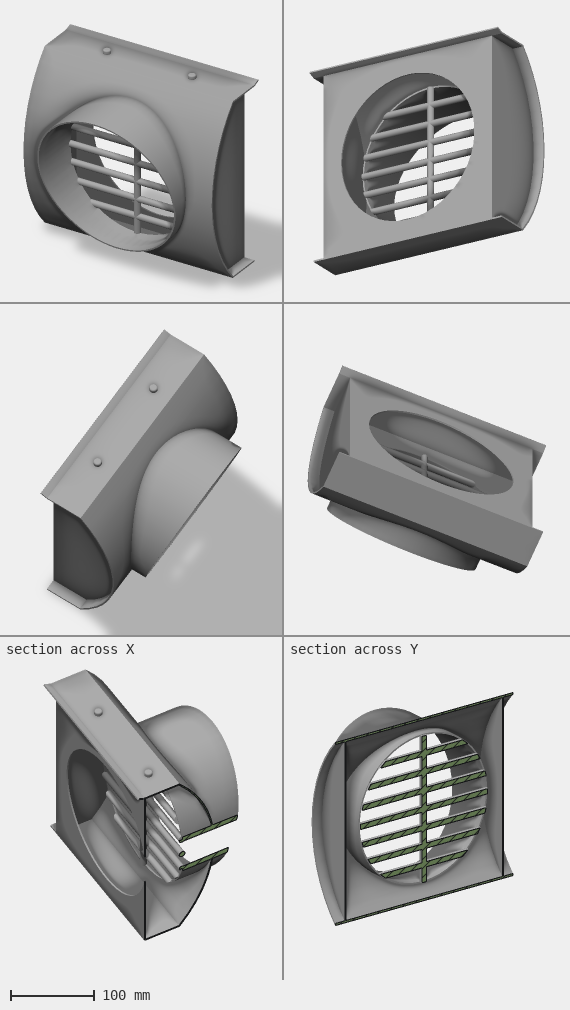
import cadquery as cq
import math

width = 265.0
height = 240.0
half_height = height / 2
sheet = 2.0
flange_depth = 48.5
apex_depth = 96.7

lip_reach = 9.5
lip_angle = 20.0

end_inset = 14.0

neck_outer = 192.0
neck_inner = 188.0
neck_start = 52.0
neck_tip = 148.0
mouth_angle = 15.0

grille_depth = neck_start
bar_diameter = 8.5
bar_pitch = height / 10
bars_each_side = 3

pin_diameter = 10.0
pin_height = 5.0
pin_rounding = 1.9
pin_spacing = 119.8
pin_depth = flange_depth / 2

bulge = apex_depth - flange_depth
arc_radius = (half_height**2 + bulge**2) / (2 * bulge)
arc_center_depth = apex_depth - arc_radius


def cover_block(length, inset):
    """Solid D-shaped block, its outline moved inward by inset except at the back."""
    top = half_height - inset
    radius = arc_radius - inset
    edge_depth = arc_center_depth + math.sqrt(radius**2 - top**2)
    return (
        cq.Workplane("YZ")
        .moveTo(0, -top)
        .lineTo(-edge_depth, -top)
        .threePointArc((-(arc_center_depth + radius), 0), (-edge_depth, top))
        .lineTo(0, top)
        .close()
        .extrude(length / 2, both=True)
    )


def cylinder_along_y(diameter, front_depth, back_depth):
    """Cylinder on the neck axis between two depths in front of the back plane."""
    return (
        cq.Workplane("XZ", origin=(0, -back_depth, 0))
        .circle(diameter / 2)
        .extrude(front_depth - back_depth)
    )


def make_lip():
    """Strip rising backward from the top flange."""
    slope = math.radians(lip_angle)
    shift_y = sheet * math.sin(slope)
    shift_z = sheet * math.cos(slope)
    low_y = lip_reach
    low_z = half_height - sheet + lip_reach * math.tan(slope)
    return (
        cq.Workplane("YZ")
        .moveTo(0, half_height - sheet)
        .lineTo(low_y, low_z)
        .lineTo(low_y - shift_y, low_z + shift_z)
        .lineTo(-sheet * math.tan(slope / 2), half_height)
        .close()
        .extrude(width / 2, both=True)
    )


def make_housing():
    """Cover sheet with end plates and a back wall, still without openings."""
    box_length = width - 2 * end_inset
    sheet_shell = cover_block(width, 0).cut(cover_block(width, sheet))
    box = cover_block(box_length, sheet)
    cavity = cover_block(box_length - 2 * sheet, sheet)
    back_slab = cq.Workplane("XY").box(width, 2 * sheet, height)
    return sheet_shell.union(box.cut(cavity.cut(back_slab)))


def make_neck():
    """Solid neck cut by the slanted mouth, whose foremost point is at the top."""
    radius = neck_outer / 2
    mouth_low = neck_tip - neck_outer * math.tan(math.radians(mouth_angle))
    side_profile = (
        cq.Workplane("YZ")
        .moveTo(-neck_start, -radius)
        .lineTo(-mouth_low, -radius)
        .lineTo(-neck_tip, radius)
        .lineTo(-neck_start, radius)
        .close()
        .extrude(radius, both=True)
    )
    return cylinder_along_y(neck_outer, neck_tip, neck_start).intersect(side_profile)


def make_grille():
    """Horizontal bars crossing one upright, with their ends in the neck wall."""
    bar_radius = bar_diameter / 2
    span = neck_outer
    grille = (
        cq.Workplane("XY", origin=(0, -grille_depth, 0))
        .circle(bar_radius)
        .extrude(span / 2, both=True)
    )
    for row in range(-bars_each_side, bars_each_side + 1):
        bar = (
            cq.Workplane("YZ", origin=(0, -grille_depth, row * bar_pitch))
            .circle(bar_radius)
            .extrude(span / 2, both=True)
        )
        grille = grille.union(bar)
    wall_middle = (neck_outer + neck_inner) / 2
    return grille.intersect(cylinder_along_y(wall_middle, neck_tip, 0))


def make_pins():
    """Two round-topped pins standing on the top flange."""
    return (
        cq.Workplane("XY", origin=(0, -pin_depth, half_height - sheet / 2))
        .pushPoints([(-pin_spacing / 2, 0), (pin_spacing / 2, 0)])
        .circle(pin_diameter / 2)
        .extrude(pin_height + sheet / 2)
        .faces(">Z")
        .edges()
        .fillet(pin_rounding)
    )


housing = make_housing().union(make_lip())
housing = housing.union(make_neck())
housing = housing.cut(cylinder_along_y(neck_inner, neck_tip, 0))
result = housing.union(make_grille()).union(make_pins())